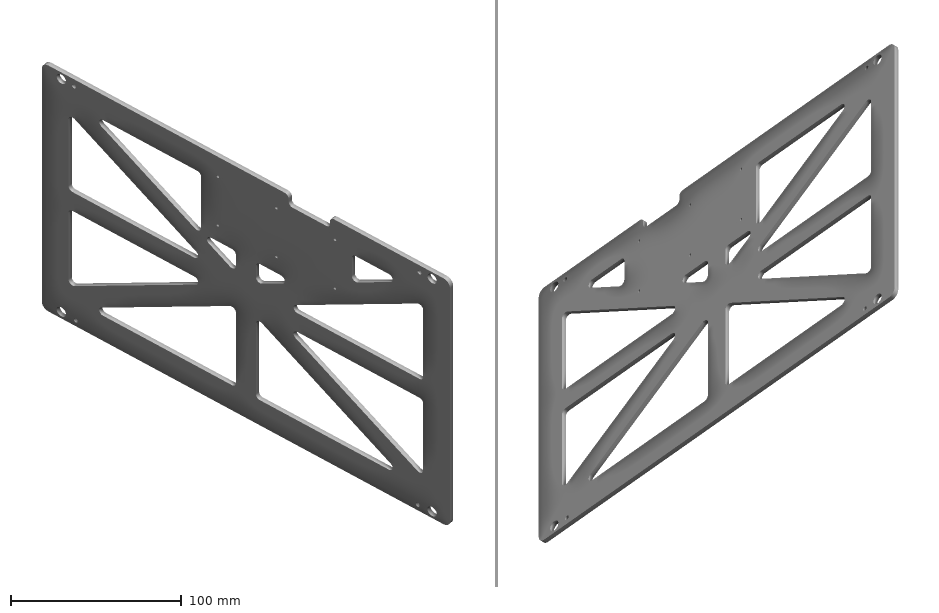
import cadquery as cq
import math

PLATE_WIDTH = 305.35
PLATE_HEIGHT = 195.6
PLATE_THICKNESS = 3.0
PLATE_CORNER_RADIUS = 5.0

FRAME_MARGIN = 20.0
RIB_WIDTH = 15.0
POCKET_CORNER_RADIUS = 3.0
WINDOW_WIDTH = PLATE_WIDTH - 2 * FRAME_MARGIN
WINDOW_HEIGHT = PLATE_HEIGHT - 2 * FRAME_MARGIN
DIAGONAL_LENGTH = math.hypot(WINDOW_WIDTH, WINDOW_HEIGHT)
DIAGONAL_ANGLE = math.degrees(math.atan2(WINDOW_HEIGHT, WINDOW_WIDTH))

BOARD_HOLE_DIAMETER = 2.0
BOARD_COLUMN_PITCH = 43.8
BOARD_ROW_PITCH = 38.8
BOARD_CENTER_X = 22.8
BOARD_CENTER_Z = 62.7

PAD_SIDE_MARGIN = 12.6
PAD_LOWER_MARGIN = 12.8
PAD_LEFT = BOARD_CENTER_X - BOARD_COLUMN_PITCH - PAD_SIDE_MARGIN
PAD_RIGHT = BOARD_CENTER_X + BOARD_COLUMN_PITCH + PAD_SIDE_MARGIN
PAD_BOTTOM = BOARD_CENTER_Z - BOARD_ROW_PITCH / 2 - PAD_LOWER_MARGIN

NOTCH_WIDTH = 31.0
NOTCH_DEPTH = 8.5
NOTCH_CENTER_X = 47.5
NOTCH_CORNER_RADIUS = 3.0

HOLE_CENTER_X = 0.6

CORNER_HOLE_DIAMETER = 7.0
CORNER_HOLE_SPACING_X = 277.4
CORNER_HOLE_SPACING_Z = 185.2

SIDE_HOLE_DIAMETER = 3.0
UPPER_SIDE_HOLE_SPACING = 258.5
UPPER_SIDE_HOLE_Z = 92.3
LOWER_SIDE_HOLE_SPACING = 255.8
LOWER_SIDE_HOLE_Z = -93.3


def block(left, right, bottom, top):
    """Box through the plate thickness, given its four sides in X and Z."""
    return cq.Workplane("XY").box(
        right - left, PLATE_THICKNESS, top - bottom, centered=False
    ).translate((left, 0, bottom))


def centered_block(width, height):
    """Box through the plate thickness, centred on the origin in X and Z."""
    return block(-width / 2, width / 2, -height / 2, height / 2)


def make_plate():
    """Rounded plate with the notch in its top edge."""
    plate = centered_block(PLATE_WIDTH, PLATE_HEIGHT).edges("|Y").fillet(PLATE_CORNER_RADIUS)
    top = PLATE_HEIGHT / 2
    left = NOTCH_CENTER_X - NOTCH_WIDTH / 2
    right = NOTCH_CENTER_X + NOTCH_WIDTH / 2
    plate = plate.cut(block(left, right, top - NOTCH_DEPTH, top))
    clearance = 1.0
    notch_edges = cq.selectors.BoxSelector(
        (left - clearance, -clearance, top - NOTCH_DEPTH - clearance),
        (right + clearance, PLATE_THICKNESS + clearance, top + clearance),
    )
    return plate.edges("|Y").edges(notch_edges).fillet(NOTCH_CORNER_RADIUS)


def make_open_window():
    """Sharp-cornered window area left between the upright, level and diagonal ribs."""
    window = centered_block(WINDOW_WIDTH, WINDOW_HEIGHT)
    window = window.cut(centered_block(WINDOW_WIDTH, RIB_WIDTH))
    window = window.cut(centered_block(RIB_WIDTH, WINDOW_HEIGHT))
    diagonal = centered_block(DIAGONAL_LENGTH + 2 * RIB_WIDTH, RIB_WIDTH)
    for angle in (DIAGONAL_ANGLE, -DIAGONAL_ANGLE):
        window = window.cut(diagonal.rotate((0, 0, 0), (0, 1, 0), angle))
    return window


def make_pockets():
    """Round-cornered pockets; the mounting pad limits only those above both diagonals."""
    half_width = WINDOW_WIDTH / 2
    half_height = WINDOW_HEIGHT / 2
    upper_wedge = (
        cq.Workplane("XZ")
        .polyline([(0, 0), (half_width, half_height), (-half_width, half_height)])
        .close()
        .extrude(-PLATE_THICKNESS)
    )
    window = make_open_window()
    upper_window = window.intersect(upper_wedge)
    pocket_groups = [
        window.cut(upper_wedge),
        upper_window.intersect(block(-half_width, PAD_LEFT, 0, half_height)),
        upper_window.intersect(block(PAD_RIGHT, half_width, 0, half_height)),
        upper_window.intersect(block(-half_width, half_width, 0, PAD_BOTTOM)),
    ]
    return [group.edges("|Y").fillet(POCKET_CORNER_RADIUS) for group in pocket_groups]


def make_holes(points, diameter):
    """Cylinders through the plate at the given (x, z) points."""
    return cq.Workplane("XZ").pushPoints(points).circle(diameter / 2).extrude(-PLATE_THICKNESS)


def corner_points():
    points = []
    for side in (-1, 1):
        for level in (-1, 1):
            x = HOLE_CENTER_X + side * CORNER_HOLE_SPACING_X / 2
            z = level * CORNER_HOLE_SPACING_Z / 2
            points.append((x, z))
    return points


def side_points():
    points = []
    for side in (-1, 1):
        points.append((HOLE_CENTER_X + side * UPPER_SIDE_HOLE_SPACING / 2, UPPER_SIDE_HOLE_Z))
        points.append((HOLE_CENTER_X + side * LOWER_SIDE_HOLE_SPACING / 2, LOWER_SIDE_HOLE_Z))
    return points


def board_points():
    points = []
    for column in (-1, 0, 1):
        for row in (-1, 1):
            x = BOARD_CENTER_X + column * BOARD_COLUMN_PITCH
            z = BOARD_CENTER_Z + row * BOARD_ROW_PITCH / 2
            points.append((x, z))
    return points


result = make_plate()
for pockets in make_pockets():
    result = result.cut(pockets)
result = result.cut(make_holes(corner_points(), CORNER_HOLE_DIAMETER))
result = result.cut(make_holes(side_points(), SIDE_HOLE_DIAMETER))
result = result.cut(make_holes(board_points(), BOARD_HOLE_DIAMETER))